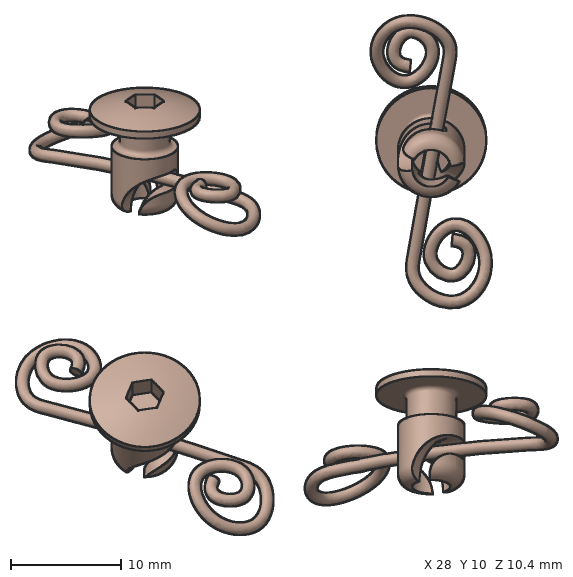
import cadquery as cq
import math

HEAD_DIAMETER = 10.0
HEAD_RADIUS = HEAD_DIAMETER / 2
HEAD_BOTTOM = 8.83
RIM_TOP = 9.53
CROWN_HEIGHT = 10.45
NECK_RADIUS = 2.27
HEAD_FILLET = 0.4
SHOULDER_FILLET = 0.5
BARREL_RADIUS = 3.03
BARREL_TOP = 5.9
FOOT_FILLET = 1.23

HEX_FLATS = 3.0
HEX_TURN = 19.4
HEX_FLOOR = 8.13

WIRE_ANGLE = 20.0
SEAT_HEIGHT = 3.25
SLOT_WIDTH = 1.8
CLIMB_ANGLE = -8.0
CLIMB_STEPS = 8
LEVEL_STEPS = 4
CUT_START = 0.85
CUT_REACH = 3.35

BORE_RADIUS = 1.75
BORE_DEPTH = 3.87

WIRE_RADIUS = 0.6
ARCH_END_RADIUS = 9.4
ARCH_DROP = 0.4
COIL_TOP = 4.95
COIL_POINTS = [
    (10.25, 3.53, 2.65),
    (13.42, 0.05, 2.15),
    (10.2, -3.15, 3.75),
    (7.03, -0.8, COIL_TOP),
    (10.03, 1.8, COIL_TOP),
    (11.68, -0.05, COIL_TOP),
    (10.0, -1.68, COIL_TOP),
    (8.4, -0.42, COIL_TOP),
]


def turned_blank():
    """Domed head, filleted neck and round-footed barrel."""
    bend = math.sqrt(0.5)
    rise = CROWN_HEIGHT - RIM_TOP
    dome_radius = (HEAD_RADIUS**2 + rise**2) / (2 * rise)
    mid_radius = HEAD_RADIUS / 2
    dome_mid = CROWN_HEIGHT - dome_radius + math.sqrt(dome_radius**2 - mid_radius**2)
    shoulder = NECK_RADIUS + SHOULDER_FILLET
    collar = NECK_RADIUS + HEAD_FILLET
    foot = BARREL_RADIUS - FOOT_FILLET
    return (
        cq.Workplane("XZ")
        .lineTo(foot, 0)
        .threePointArc((foot + FOOT_FILLET * bend, FOOT_FILLET * (1 - bend)), (BARREL_RADIUS, FOOT_FILLET))
        .lineTo(BARREL_RADIUS, BARREL_TOP)
        .lineTo(shoulder, BARREL_TOP)
        .threePointArc(
            (shoulder - SHOULDER_FILLET * bend, BARREL_TOP + SHOULDER_FILLET * (1 - bend)),
            (NECK_RADIUS, BARREL_TOP + SHOULDER_FILLET),
        )
        .lineTo(NECK_RADIUS, HEAD_BOTTOM - HEAD_FILLET)
        .threePointArc(
            (collar - HEAD_FILLET * bend, HEAD_BOTTOM - HEAD_FILLET * (1 - bend)),
            (collar, HEAD_BOTTOM),
        )
        .lineTo(HEAD_RADIUS, HEAD_BOTTOM)
        .lineTo(HEAD_RADIUS, RIM_TOP)
        .threePointArc((mid_radius, dome_mid), (0, CROWN_HEIGHT))
        .close()
        .revolve(360, (0, 0, 0), (0, 1, 0))
    )


def hex_socket():
    return (
        cq.Workplane("XY", origin=(0, 0, HEX_FLOOR))
        .polygon(6, HEX_FLATS, circumscribed=True)
        .extrude(CROWN_HEIGHT - HEX_FLOOR)
        .rotate((0, 0, 0), (0, 0, 1), HEX_TURN)
    )


def slot_edge(radius, height):
    """Edge of the slot wrapped at a radius: a quarter round climb to a height, then a level run."""
    route = []
    for step in range(CLIMB_STEPS + 1):
        tilt = step / CLIMB_STEPS * math.pi / 2
        angle = math.radians(CLIMB_ANGLE) - height * math.cos(tilt) / BARREL_RADIUS
        route.append((angle, height * math.sin(tilt)))
    for step in range(1, LEVEL_STEPS + 1):
        angle = CLIMB_ANGLE + step / LEVEL_STEPS * (WIRE_ANGLE - CLIMB_ANGLE)
        route.append((math.radians(angle), height))
    points = [cq.Vector(radius * math.cos(angle), radius * math.sin(angle), z) for angle, z in route]
    return cq.Edge.makeSpline(points)


def slot_branch():
    """One branch of the slot as a six-sided solid with radial walls."""
    lower = SEAT_HEIGHT - SLOT_WIDTH / 2
    upper = SEAT_HEIGHT + SLOT_WIDTH / 2
    low_near = slot_edge(CUT_START, lower)
    low_far = slot_edge(CUT_REACH, lower)
    high_near = slot_edge(CUT_START, upper)
    high_far = slot_edge(CUT_REACH, upper)
    faces = [
        cq.Face.makeRuledSurface(low_near, low_far),
        cq.Face.makeRuledSurface(high_near, high_far),
        cq.Face.makeRuledSurface(low_near, high_near),
        cq.Face.makeRuledSurface(low_far, high_far),
    ]
    for place in (0, 1):
        corners = [edge.positionAt(place) for edge in (low_near, low_far, high_far, high_near)]
        faces.append(cq.Face.makeFromWires(cq.Wire.makePolygon(corners, close=True)))
    return cq.Solid.makeSolid(cq.Shell.makeShell(faces)).fix()


def seat_bore():
    """Round cut straight across the barrel, ending both branches of the slot."""
    turn = math.radians(WIRE_ANGLE)
    direction = cq.Vector(math.cos(turn), math.sin(turn), 0)
    start = cq.Vector(0, 0, SEAT_HEIGHT) - direction * CUT_REACH
    return cq.Solid.makeCylinder(SLOT_WIDTH / 2, 2 * CUT_REACH, start, direction)


def foot_bore():
    return cq.Workplane("XY").circle(BORE_RADIUS).extrude(BORE_DEPTH)


def make_stud():
    stud = turned_blank().cut(hex_socket()).cut(foot_bore())
    branch = cq.Workplane(slot_branch())
    for turn in (0, 180):
        stud = stud.cut(branch.rotate((0, 0, 0), (0, 0, 1), turn))
    return stud.cut(cq.Workplane(seat_bore()))


def half_turn(point):
    return cq.Vector(-point.x, -point.y, point.z)


def make_spring():
    """Wire arched through the stud, with a rising coil at each end."""
    turn = math.radians(WIRE_ANGLE)
    arch_end = cq.Vector(
        ARCH_END_RADIUS * math.cos(turn), ARCH_END_RADIUS * math.sin(turn), SEAT_HEIGHT - ARCH_DROP
    )
    arch_slope = math.tan(2 * math.atan(ARCH_DROP / ARCH_END_RADIUS))
    leaving = cq.Vector(math.cos(turn), math.sin(turn), -arch_slope)
    inner_points = [cq.Vector(*point) for point in COIL_POINTS]
    coil = [arch_end] + inner_points
    far_coil = [half_turn(point) for point in reversed(coil)]
    free = [None] * len(inner_points)
    far_leaving = half_turn(leaving) * -1

    path = cq.Wire.assembleEdges([
        cq.Edge.makeSpline(far_coil, tangents=free + [far_leaving], scale=False),
        cq.Edge.makeThreePointArc(half_turn(arch_end), cq.Vector(0, 0, SEAT_HEIGHT), arch_end),
        cq.Edge.makeSpline(coil, tangents=[leaving] + free, scale=False),
    ])
    section = cq.Plane(origin=path.startPoint(), normal=path.tangentAt(0))
    return cq.Workplane(section).circle(WIRE_RADIUS).sweep(path)


stud = make_stud()
spring = make_spring()

result = cq.Compound.makeCompound([stud.val(), spring.val()])